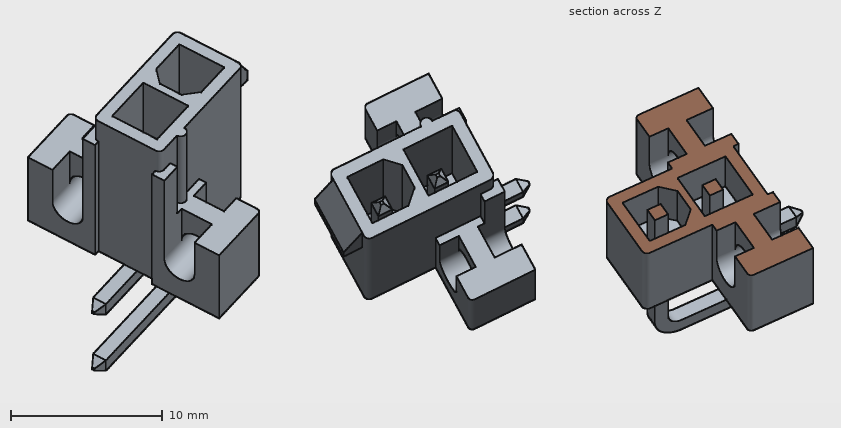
import cadquery as cq
import math


housing_width = 5.42
housing_depth = 9.6
housing_height = 12.8
housing_corner_radius = 0.4
overall_height = 19.93

cavity_size = 3.63
cavity_wall = 0.9
cavity_corner_cut = 0.94
cavity_floor_z = 2.8
pitch = housing_depth - 2 * cavity_wall - cavity_size
cavity_front_y = cavity_wall + cavity_size / 2
cavity_back_y = cavity_front_y + pitch

latch_width = 4.19
latch_reach = 1.4
latch_ramp_drop = 2.23
latch_root_drop = 3.07
latch_tip_drop = 3.15

rib_radius = 0.42
rib_y = 2.33

overall_width = 15.4
front_step = 0.4
wing_inner_x = 2.3
wing_depth = 4.86
wing_height = 6.22
wing_corner_radius = 0.32
post_depth = 1.51
post_height = 10.8

hole_radius = 1.22
hole_x = 4.5
hole_z = 3.1
front_slot_depth = 2.01
web_thickness = 1.42
post_outer_x = hole_x - hole_radius
wing_front_y = -front_step
wing_back_y = wing_front_y + wing_depth

pin_size = 1.04
pin_bend_inner_radius = 1.04
pin_tip_length = 0.72
pin_tip_size = 0.22
pin_end_y = -3.9
pin_top_z = 9.96
pin_offset_y = 0.18
front_pin_y = cavity_front_y + pin_offset_y
back_pin_y = cavity_back_y + pin_offset_y
front_pin_tail_z = -1.08
back_pin_tail_z = pin_size / 2 - (overall_height - housing_height)


def block(x_range, y_range, z_range):
    """Box between the given limits along each axis."""
    (x0, x1), (y0, y1), (z0, z1) = x_range, y_range, z_range
    return cq.Workplane("XY").box(x1 - x0, y1 - y0, z1 - z0, centered=False).translate((x0, y0, z0))


def make_housing():
    shell = (
        block(
            (-housing_width / 2, housing_width / 2),
            (0, housing_depth),
            (0, housing_height),
        )
        .edges("|Z")
        .fillet(housing_corner_radius)
    )
    rib = cq.Workplane("XY").center(housing_width / 2, rib_y).circle(rib_radius).extrude(housing_height)
    return shell.union(rib)


def make_latch():
    back = housing_depth
    tip = back + latch_reach
    root_inside = back - cavity_wall / 2
    profile = [
        (root_inside, housing_height),
        (back, housing_height),
        (tip, housing_height - latch_ramp_drop),
        (tip, housing_height - latch_tip_drop),
        (back, housing_height - latch_root_drop),
        (root_inside, housing_height - latch_root_drop),
    ]
    return cq.Workplane("YZ").polyline(profile).close().extrude(latch_width / 2, both=True)


def make_cavity(center_y):
    return block(
        (-cavity_size / 2, cavity_size / 2),
        (center_y - cavity_size / 2, center_y + cavity_size / 2),
        (cavity_floor_z, housing_height),
    )


def make_wing():
    """Wing on the +X side with its post, slots and screw hole."""
    plate = (
        block((wing_inner_x, overall_width / 2), (wing_front_y, wing_back_y), (0, wing_height))
        .edges("|Z and >X and >Y")
        .fillet(wing_corner_radius)
    )
    hole = cq.Workplane("XZ", origin=(hole_x, wing_back_y, hole_z)).circle(hole_radius).extrude(wing_depth)
    slot_above_hole = block(
        (hole_x - hole_radius, hole_x + hole_radius),
        (wing_front_y, wing_back_y),
        (hole_z, wing_height),
    )
    web_front_y = wing_front_y + front_slot_depth
    web = block(
        (wing_inner_x, overall_width / 2),
        (web_front_y, web_front_y + web_thickness),
        (0, wing_height),
    )
    post = block(
        (wing_inner_x, post_outer_x),
        (wing_front_y, wing_front_y + post_depth),
        (0, post_height),
    )
    return plate.cut(slot_above_hole.cut(web)).cut(hole).union(post)


def make_pin(pin_y, tail_z):
    """Vertical pin at pin_y bent forward into a tail at height tail_z."""
    half = pin_size / 2
    inner = pin_bend_inner_radius
    outer = inner + pin_size
    bend_y = pin_y - half - inner
    bend_z = tail_z + half + inner
    shoulder_y = pin_end_y + pin_tip_length
    shoulder_z = pin_top_z - pin_tip_length
    diagonal = math.sqrt(0.5)
    body = (
        cq.Workplane("YZ")
        .moveTo(shoulder_y, tail_z - half)
        .lineTo(bend_y, tail_z - half)
        .threePointArc((bend_y + outer * diagonal, bend_z - outer * diagonal), (pin_y + half, bend_z))
        .lineTo(pin_y + half, shoulder_z)
        .lineTo(pin_y - half, shoulder_z)
        .lineTo(pin_y - half, bend_z)
        .threePointArc((bend_y + inner * diagonal, bend_z - inner * diagonal), (bend_y, tail_z + half))
        .lineTo(shoulder_y, tail_z + half)
        .close()
        .extrude(half, both=True)
    )
    contact_tip = make_tip(cq.Workplane("XY", origin=(0, pin_y, shoulder_z)))
    tail_tip = make_tip(cq.Workplane("XZ", origin=(0, shoulder_y, tail_z)))
    return body.union(contact_tip).union(tail_tip)


def make_tip(plane):
    """Blunt square pyramid that grows out of the given plane."""
    return (
        plane.rect(pin_size, pin_size)
        .workplane(offset=pin_tip_length)
        .rect(pin_tip_size, pin_tip_size)
        .loft(combine=True)
    )


front_cavity = make_cavity(cavity_front_y)
back_cavity = make_cavity(cavity_back_y).edges("|Z and <Y").chamfer(cavity_corner_cut)

right_wing = make_wing()
left_wing = right_wing.mirror("YZ")

result = make_housing().union(make_latch()).union(right_wing).union(left_wing)
result = result.cut(front_cavity).cut(back_cavity)
result = result.union(make_pin(front_pin_y, front_pin_tail_z))
result = result.union(make_pin(back_pin_y, back_pin_tail_z))